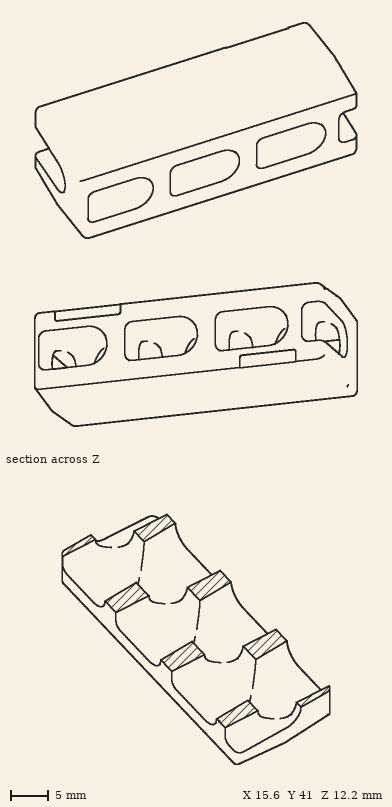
import cadquery as cq
import math

LENGTH = 41
WIDTH = 15.63
CROWN_HEIGHT = 12.2
SIDE_HEIGHT = 10.83
END_DRAFT = math.radians(1)
END_FILLET = 1.0

BORE_DIAMETER = 5.0
POCKET_HEIGHT = 4.95
POCKET_DRAFT = 2
POCKET_CORNER = 0.75
POCKET_PITCH = 12.7
INNER_SLOT_Y = 6.35
OUTER_SLOT_Y = 18.5
SLOT_WIDTH = 1.6

LABEL_DEPTH = 0.12
LABEL_CORNER = 0.33
TOP_LABEL_LENGTH = 9.2
TOP_LABEL_HEIGHT = 1.4
TOP_LABEL_Y = 12.68
BOTTOM_LABEL_LENGTH = 7.88
BOTTOM_LABEL_HEIGHT = 1.72
BOTTOM_LABEL_Y = -12.65

half_width = WIDTH / 2
bore_radius = BORE_DIAMETER / 2


def crowned_prism(plane, middle_height, side_height, depth):
    """Prism across X, with its greatest height at X = 0, centred on the plane."""
    outline = [
        (-half_width, -side_height / 2),
        (0, -middle_height / 2),
        (half_width, -side_height / 2),
        (half_width, side_height / 2),
        (0, middle_height / 2),
        (-half_width, side_height / 2),
    ]
    return cq.Workplane(plane).polyline(outline).close().extrude(depth / 2, both=True)


def make_body():
    side_length = LENGTH - 2 * half_width * math.tan(END_DRAFT)
    section = crowned_prism("XZ", CROWN_HEIGHT, SIDE_HEIGHT, LENGTH)
    plan = crowned_prism("XY", LENGTH, side_length, CROWN_HEIGHT)
    body = section.intersect(plan)
    long_edges = cq.selectors.BoxSelector(
        (-WIDTH, -side_length / 4, -CROWN_HEIGHT), (WIDTH, side_length / 4, CROWN_HEIGHT)
    )
    creases = cq.selectors.BoxSelector((-0.4, -LENGTH, -0.4), (0.4, LENGTH, 0.4))
    return body.edges(-(long_edges + creases)).fillet(END_FILLET)


def make_pocket(flat_y, round_y):
    """Pocket opening on +X, flat toward -Y and round toward +Y, widening outward."""
    half_height = POCKET_HEIGHT / 2
    outline = (
        cq.Workplane("YZ")
        .moveTo(round_y, -half_height)
        .threePointArc((round_y + half_height, 0), (round_y, half_height))
        .lineTo(flat_y + POCKET_CORNER, half_height)
        .radiusArc((flat_y, half_height - POCKET_CORNER), -POCKET_CORNER)
        .lineTo(flat_y, POCKET_CORNER - half_height)
        .radiusArc((flat_y + POCKET_CORNER, -half_height), -POCKET_CORNER)
        .close()
    )
    return outline.extrude(half_width, taper=-POCKET_DRAFT)


def make_label(center_y, length, face_height):
    """Recess cutter with rounded lower corners, running out over the top long edge."""
    overshoot = (CROWN_HEIGHT - SIDE_HEIGHT) / 2
    height = face_height + overshoot
    center_z = SIDE_HEIGHT / 2 + overshoot - height / 2
    label = cq.Workplane("XY").box(2 * LABEL_DEPTH, length, height)
    label = label.edges("|X and <Z").fillet(LABEL_CORNER)
    return label.translate((-half_width, center_y, center_z))


result = make_body()
result = result.cut(cq.Workplane("XZ").circle(bore_radius).extrude(LENGTH / 2, both=True))

slots = (-OUTER_SLOT_Y, -INNER_SLOT_Y, INNER_SLOT_Y, OUTER_SLOT_Y)
for index, slot_y in enumerate(slots):
    pocket = make_pocket(slot_y - SLOT_WIDTH / 2, (index - 1) * POCKET_PITCH)
    result = result.cut(pocket)
    result = result.cut(pocket.rotate((0, 0, 0), (0, 0, 1), 180))

top_label = make_label(TOP_LABEL_Y, TOP_LABEL_LENGTH, TOP_LABEL_HEIGHT)
bottom_label = make_label(BOTTOM_LABEL_Y, BOTTOM_LABEL_LENGTH, BOTTOM_LABEL_HEIGHT).mirror("XY")
result = result.cut(top_label).cut(bottom_label)